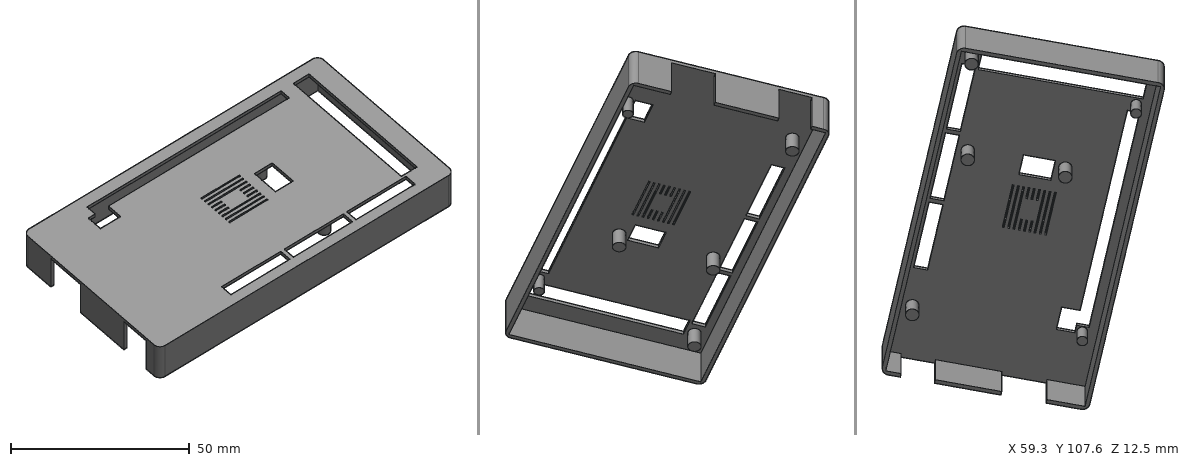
import cadquery as cq

width = 59.3
length = 107.6
height = 12.5
wall = 1.2
roof = 1.2
corner_radius = 2.2
roof_underside = height - roof
overcut = 1.1

post_bottom = 6.0
thick_post = 3.8
thin_post = 3.0
left_post_x = 5.5
right_post_x = 53.8
middle_post_y = 69.1
thick_post_centres = [
    (right_post_x, 17.0),
    (right_post_x, 99.5),
    (20.8, middle_post_y),
    (48.6, middle_post_y),
]
thin_post_centres = [(left_post_x, 18.3), (left_post_x, 93.2)]

notches = [(12.0, 12.9), (43.9, 9.8)]

header_count = 3
header_x = 51.9
header_y = 29.0
header_width = 4.0
header_length = 21.5
header_pitch = 22.8

left_opening_x = 3.9
long_slot_y = 20.0
long_slot_width = 3.5
long_slot_length = 70.7
bay_x = left_opening_x + long_slot_width
bay_y = 17.5
bay_width = 5.3
bay_length = 7.3

back_slot_y = 95.2
back_slot_width = 47.1
back_slot_depth = 5.7

window_x = 23.9
window_y = 64.3
window_width = 9.1
window_length = 6.5

grille_count = 9
grille_pitch = 1.5
grille_slot_width = 0.4
grille_length = 13.9
grille_centre_x = 27.9
grille_y = 46.8
interrupted_count = 3
patch_length = 6.9


def block(x, y, z, size_x, size_y, size_z):
    """Box with its lowest corner at (x, y, z)."""
    return cq.Workplane("XY", origin=(x, y, z)).box(size_x, size_y, size_z, centered=False)


def roof_cutter(x, y, size_x, size_y):
    """Rectangular cutter through the roof."""
    return block(x, y, roof_underside - overcut, size_x, size_y, roof + 2 * overcut)


def make_shell():
    outer = block(0, 0, 0, width, length, height).edges("|Z").fillet(corner_radius)
    cavity = block(wall, wall, 0, width - 2 * wall, length - 2 * wall, roof_underside)
    return outer.cut(cavity)


def make_posts(centres, diameter):
    post_height = height - roof / 2 - post_bottom
    start = cq.Workplane("XY", origin=(0, 0, post_bottom))
    return start.pushPoints(centres).circle(diameter / 2).extrude(post_height)


def cut_notches(body):
    for x, notch_width in notches:
        cutter = block(x, -overcut, -overcut, notch_width, wall + overcut, roof_underside + overcut)
        body = body.cut(cutter)
    return body


def cut_header_slots(body):
    for i in range(header_count):
        y = header_y + i * header_pitch
        body = body.cut(roof_cutter(header_x, y, header_width, header_length))
    return body


def cut_grille(body):
    half_length = (grille_length - patch_length) / 2
    upper_y = grille_y + half_length + patch_length
    middle = grille_count // 2
    for i in range(grille_count):
        step = i - middle
        x = grille_centre_x + step * grille_pitch - grille_slot_width / 2
        if abs(step) <= interrupted_count // 2:
            body = body.cut(roof_cutter(x, grille_y, grille_slot_width, half_length))
            body = body.cut(roof_cutter(x, upper_y, grille_slot_width, half_length))
        else:
            body = body.cut(roof_cutter(x, grille_y, grille_slot_width, grille_length))
    return body


single_openings = [
    roof_cutter(left_opening_x, long_slot_y, long_slot_width, long_slot_length),
    roof_cutter(bay_x, bay_y, bay_width, bay_length),
    roof_cutter(left_opening_x, back_slot_y, back_slot_width, back_slot_depth),
    roof_cutter(window_x, window_y, window_width, window_length),
]

lid = make_shell()
for opening in single_openings:
    lid = lid.cut(opening)
lid = cut_header_slots(lid)
lid = cut_grille(lid)
lid = cut_notches(lid)
lid = lid.union(make_posts(thick_post_centres, thick_post))
lid = lid.union(make_posts(thin_post_centres, thin_post))

result = lid